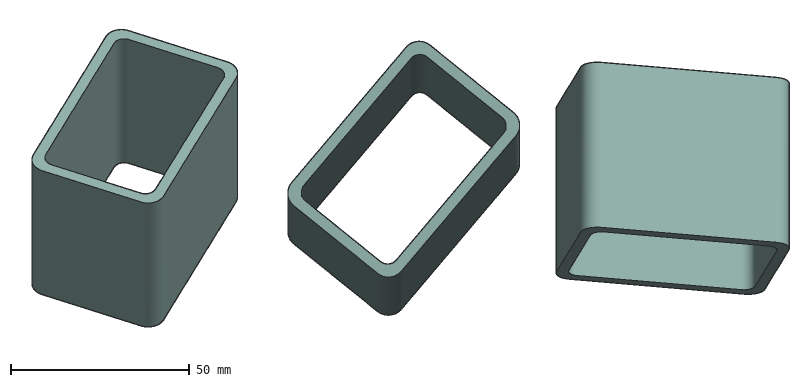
import cadquery as cq

width = 40.0
length = 60.0
height = 50.0
wall = 3.2
outer_radius = 4.8
inner_radius = 3.2


def rounded_block(size_x, size_y, corner_radius):
    """Full-height block with rounded vertical edges."""
    block = cq.Workplane("XY").rect(size_x, size_y).extrude(height)
    return block.edges("|Z").fillet(corner_radius)


outer_body = rounded_block(width, length, outer_radius)
bore = rounded_block(width - 2 * wall, length - 2 * wall, inner_radius)

result = outer_body.cut(bore)